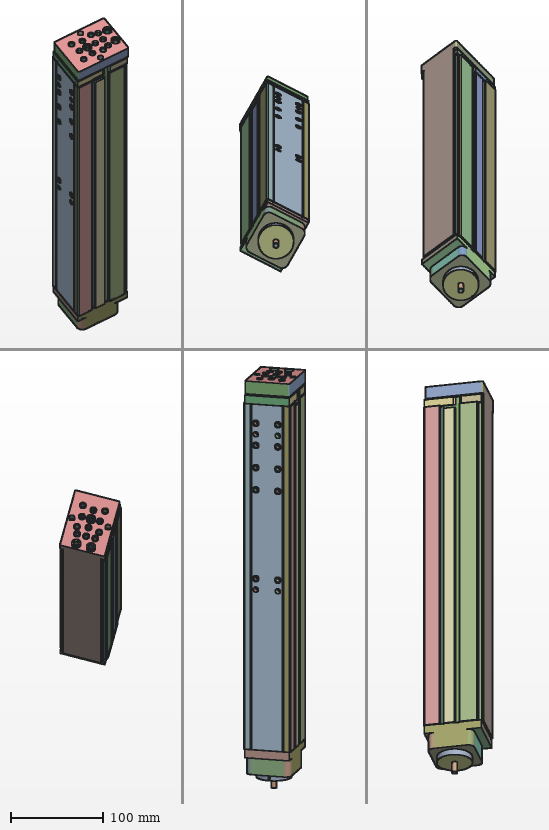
import cadquery as cq
import math

TOTAL_LENGTH = 461.5
PROFILE_WIDTH = 53.0
CAP_WIDTH = 50.5
PROFILE_BACK_WIDTH = 46.0
TABLE_WIDTH = 42.5
PROFILE_FRONT = -28.5
CAP_RECESS = 0.5
SHOULDER = 32.5
HOUSING_BACK = 35.5
SLIDE_BACK = 37.5
CAP_FRONT = PROFILE_FRONT + CAP_RECESS

BOSS_BOTTOM = 12.5
BLOCK_BOTTOM = 19.5
BOTTOM_CAP_BOTTOM = 38.8
PROFILE_BOTTOM = 48.5
PROFILE_TOP = 436.5
TOP_CAP_TOP = 446.0
PLATE_CLEARANCE = 1.5
PLATE_BOTTOM = TOP_CAP_TOP + PLATE_CLEARANCE
PROFILE_SPAN = (PROFILE_BOTTOM, PROFILE_TOP)

EDGE_CHAMFER = 1.5
LOWER_GROOVE = (-10.0, -7.0)
LOWER_GROOVE_FLOOR = 22.0
UPPER_GROOVE = (6.5, 11.0)
UPPER_GROOVE_FLOOR = 24.0
GROOVE_MOUTH_CHAMFER = 1.0
RIB_SHORTENING = 4.0
STRIP_WIDTH = 36.0
LINE_GROOVE_SIZE = 1.5
CAP_GROOVE_FLARE = 2.5

SHAFT_DIAMETER = 6.0
SHAFT_CHAMFER = 0.5
BOSS_DIAMETER = 38.8
PORT_DIAMETER = 2.45
PORT_LEVEL = 15.5
PORT_DEPTH = 4.5
BLOCK_FRONT = -25.0
BLOCK_BACK = 26.5
BLOCK_CORNER_RADIUS = 7.0

THREAD_DIAMETER = 5.0
SMALL_THREAD_DIAMETER = 4.0
THREAD_MOUTH_DIAMETER = 7.0
MOUNT_DOWEL_DIAMETER = 5.5
PLATE_DOWEL_DIAMETER = 6.0
HOLE_DEPTH = 9.0
DRILL_POINT_ANGLE = 118

MOUNT_PITCH = 25.0
TOP_MOUNT_LEVEL = 415.5
THREAD_STEPS = (0, 1, 2, 3, 7)
DOWEL_STEPS = (0.5, 7.5)

PLATE_FRONT = -27.0
PLATE_CORNER_RADIUS = 1.5
PLATE_GRID = 10.0
PLATE_SQUARE = 25.0
PLATE_DOWEL_SPACING = 40.5
PLATE_DOWEL_Y = 4.0
CENTER_BORE_DIAMETER = 9.5
CENTER_BORE_DEPTH = 2.5
SCREW_RECESS_DIAMETER = 9.5
SCREW_RECESS_DEPTH = 2.8
SCREW_HOLE_DIAMETER = 5.5
SCREW_SPACING = 16.5
SCREW_Y = 31.0


def block(x_size, y_range, z_range):
    """Box centred on X that spans the given Y and Z ranges."""
    (y_low, y_high), (z_low, z_high) = y_range, z_range
    box = cq.Workplane("XY").box(x_size, y_high - y_low, z_high - z_low, centered=(True, False, False))
    return box.translate((0, y_low, z_low))


def revolved_cutter(outline):
    """Cutter turned about the Z axis from an outline of (radius, Z) points."""
    return cq.Workplane("XZ").polyline(outline).close().revolve(360, (0, 0, 0), (0, 1, 0))


def blind_hole(diameter):
    """Cutter for a plain hole down from Z = 0 that ends in a drill point."""
    radius = diameter / 2
    tip = HOLE_DEPTH + radius / math.tan(math.radians(DRILL_POINT_ANGLE / 2))
    return revolved_cutter([(0, 0), (radius, 0), (radius, -HOLE_DEPTH), (0, -tip)])


def through_hole(diameter):
    """Cutter for a plain hole down from Z = 0 through the yoke plate."""
    return cq.Workplane("XY").circle(diameter / 2).extrude(PLATE_BOTTOM - TOTAL_LENGTH)


def thread_mouth(diameter):
    """Cutter for the 45 degree mouth that widens a tapped hole at Z = 0."""
    mouth = THREAD_MOUTH_DIAMETER / 2
    radius = diameter / 2
    return revolved_cutter([(0, 0), (mouth, 0), (radius, radius - mouth), (0, radius - mouth)])


def side_groove(y_range, z_range, floor):
    """Cutter for a pair of plain grooves along Z in the -X and +X sides."""
    width = PROFILE_WIDTH / 2 - floor
    right = block(width, y_range, z_range).translate((floor + width / 2, 0, 0))
    return right.union(right.mirror("YZ"))


def side_flare(y_range, z_range, surface, flare, depth):
    """Cutter for a pair of sloped groove mouths, wider by the flare on each side at the surface."""
    low, high = y_range
    outline = [
        (surface - depth, low),
        (surface, low - flare),
        (surface, high + flare),
        (surface - depth, high),
    ]
    right = cq.Workplane("XY", origin=(0, 0, z_range[0])).polyline(outline).close()
    right = right.extrude(z_range[1] - z_range[0])
    return right.union(right.mirror("YZ"))


def make_profile():
    wide = block(PROFILE_WIDTH, (PROFILE_FRONT, SHOULDER), PROFILE_SPAN).edges("|Z").chamfer(EDGE_CHAMFER)
    profile = wide.union(block(PROFILE_BACK_WIDTH, (SHOULDER, HOUSING_BACK), PROFILE_SPAN))
    surface = PROFILE_WIDTH / 2
    for groove, floor in ((LOWER_GROOVE, LOWER_GROOVE_FLOOR), (UPPER_GROOVE, UPPER_GROOVE_FLOOR)):
        profile = profile.cut(side_groove(groove, PROFILE_SPAN, floor))
        profile = profile.cut(
            side_flare(groove, PROFILE_SPAN, surface, GROOVE_MOUTH_CHAMFER, GROOVE_MOUTH_CHAMFER)
        )
    rib = (LOWER_GROOVE[1], UPPER_GROOVE[0])
    rib_end = (PROFILE_TOP - RIB_SHORTENING, PROFILE_TOP)
    profile = profile.cut(side_groove(rib, rib_end, UPPER_GROOVE_FLOOR))
    line_groove = block(LINE_GROOVE_SIZE, (PROFILE_FRONT, PROFILE_FRONT + LINE_GROOVE_SIZE), PROFILE_SPAN)
    for side in (-1, 1):
        profile = profile.cut(line_groove.translate((side * STRIP_WIDTH / 2, 0, 0)))
    return profile


def make_drive_end():
    drive_block = block(CAP_WIDTH, (BLOCK_FRONT, BLOCK_BACK), (BLOCK_BOTTOM, BOTTOM_CAP_BOTTOM))
    drive_block = drive_block.edges("|Z").fillet(BLOCK_CORNER_RADIUS)
    boss = cq.Workplane("XY", origin=(0, 0, BOSS_BOTTOM)).circle(BOSS_DIAMETER / 2)
    boss = boss.extrude(BLOCK_BOTTOM - BOSS_BOTTOM)
    port = cq.Workplane("XZ", origin=(0, PORT_DEPTH - BOSS_DIAMETER / 2, PORT_LEVEL))
    port = port.circle(PORT_DIAMETER / 2).extrude(PORT_DEPTH)
    boss = boss.cut(port).cut(port.rotate((0, 0, 0), (0, 0, 1), -90))
    shaft = cq.Workplane("XY").circle(SHAFT_DIAMETER / 2).extrude(BOSS_BOTTOM)
    shaft = shaft.faces("<Z").chamfer(SHAFT_CHAMFER)
    return drive_block.union(boss).union(shaft)


def drill_mounting_holes(housing):
    """Two columns of tapped and dowel holes in the mounting face."""
    threaded = blind_hole(THREAD_DIAMETER).union(thread_mouth(THREAD_DIAMETER))
    dowel = blind_hole(MOUNT_DOWEL_DIAMETER)
    for cutter, steps in ((threaded, THREAD_STEPS), (dowel, DOWEL_STEPS)):
        facing_front = cutter.rotate((0, 0, 0), (1, 0, 0), 90)
        for step in steps:
            level = TOP_MOUNT_LEVEL - step * MOUNT_PITCH
            for side in (-1, 1):
                housing = housing.cut(facing_front.translate((side * MOUNT_PITCH / 2, PROFILE_FRONT, level)))
    return housing


def make_housing():
    top_cap_span = (PROFILE_TOP, TOP_CAP_TOP)
    top_cap = block(CAP_WIDTH, (CAP_FRONT, HOUSING_BACK), top_cap_span)
    cap_surface = CAP_WIDTH / 2
    groove_depth = cap_surface - UPPER_GROOVE_FLOOR
    top_cap = top_cap.cut(
        side_flare(UPPER_GROOVE, top_cap_span, cap_surface, CAP_GROOVE_FLARE, groove_depth)
    )
    bottom_cap = block(CAP_WIDTH, (CAP_FRONT, HOUSING_BACK), (BOTTOM_CAP_BOTTOM, PROFILE_BOTTOM))
    housing = make_profile().union(top_cap).union(bottom_cap).union(make_drive_end())
    return drill_mounting_holes(housing)


def drill_plate(slide, cutter, places):
    for x, y in places:
        slide = slide.cut(cutter.translate((x, y, TOTAL_LENGTH)))
    return slide


def make_slide():
    plate = block(CAP_WIDTH, (PLATE_FRONT, SLIDE_BACK), (PLATE_BOTTOM, TOTAL_LENGTH))
    plate = plate.edges("|Z").fillet(PLATE_CORNER_RADIUS)
    table = block(TABLE_WIDTH, (HOUSING_BACK, SLIDE_BACK), (PROFILE_BOTTOM, PLATE_BOTTOM))
    slide = plate.union(table)

    half_square = PLATE_SQUARE / 2
    square = [(x, y) for x in (-half_square, half_square) for y in (-half_square, half_square)]
    ring = [(PLATE_GRID, 0), (-PLATE_GRID, 0), (0, PLATE_GRID), (0, -PLATE_GRID)]
    row = [(x, 2 * PLATE_GRID) for x in (-PLATE_GRID, 0, PLATE_GRID)]
    dowels = [(side * PLATE_DOWEL_SPACING / 2, PLATE_DOWEL_Y) for side in (-1, 1)]
    screws = [(side * SCREW_SPACING / 2, SCREW_Y) for side in (-1, 1)]

    tapped = through_hole(THREAD_DIAMETER).union(thread_mouth(THREAD_DIAMETER))
    small_mouth = thread_mouth(SMALL_THREAD_DIAMETER)
    small_tapped = through_hole(SMALL_THREAD_DIAMETER).union(small_mouth)
    small_blind = blind_hole(SMALL_THREAD_DIAMETER).union(small_mouth)
    counterbore = cq.Workplane("XY").circle(CENTER_BORE_DIAMETER / 2).extrude(-CENTER_BORE_DEPTH)
    center = counterbore.union(small_blind.translate((0, 0, -CENTER_BORE_DEPTH)))
    screw_recess = cq.Workplane("XY").circle(SCREW_RECESS_DIAMETER / 2).extrude(-SCREW_RECESS_DEPTH)
    screw_hole = screw_recess.union(through_hole(SCREW_HOLE_DIAMETER))

    slide = drill_plate(slide, tapped, square)
    slide = drill_plate(slide, small_tapped, row)
    slide = drill_plate(slide, small_blind, ring)
    slide = drill_plate(slide, through_hole(PLATE_DOWEL_DIAMETER), dowels)
    slide = drill_plate(slide, screw_hole, screws)
    return drill_plate(slide, center, [(0, 0)])


housing = make_housing()
slide = make_slide()
result = cq.Compound.makeCompound([housing.val(), slide.val()])